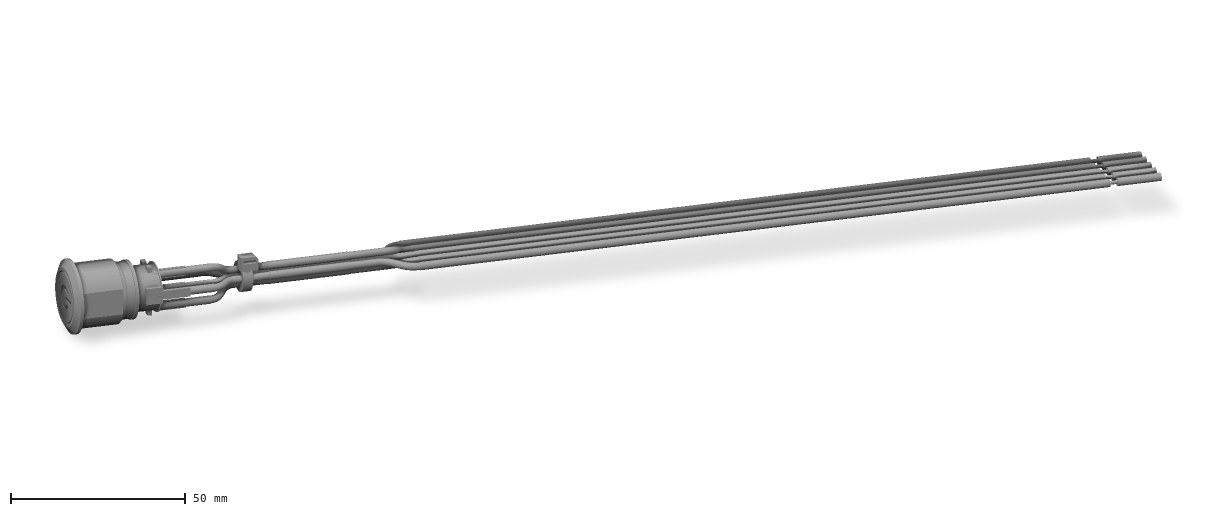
import cadquery as cq


flange_diameter = 22.0
flange_thickness = 2.3
flange_slope_depth = 1.3
bezel_diameter = 17.5
groove_diameter = 15.5
button_diameter = 14.7
groove_depth = 0.5

symbol_diameter = 7.2
symbol_line_width = 1.1
symbol_depth = 0.3
symbol_gap = 3.3
symbol_bar_start = 0.3
symbol_bar_end = 6.0

neck_diameter = 18.5
neck_rear = 3.3
body_diameter = 19.0
body_flat_width = 17.5
body_rear = 14.7
collar_diameter = 16.7
collar_rear = 19.5
collar_rim_diameter = 17.5
collar_rim_width = 1.0
base_diameter = 13.5
base_rear = 27.2
base_rim_diameter = 14.7
base_rim_width = 0.3

pad_span = 15.0
pad_height = 5.0
pad_front = 22.3
catch_spacing = 5.0
catch_width = 2.0
catch_length = 1.3
catch_front = 24.0
catch_span = 14.7

blade_thickness = 1.1
blade_height = 2.5
blade_front = 26.2
blade_rear = 35.5
blade_offset = 0.5

overall_length = 327.5
wire_diameter = 2.2
sleeve_diameter = 2.4
conductor_diameter = 1.1
bundle_pitch = 2.23
tail_pitch = 4.42
terminal_x = 6.4
inner_terminal_x = 3.0
inner_terminal_z = 5.0
wire_embed = 1.5
terminal_fan_front = 43.0
terminal_fan_rear = 50.8
bundle_sleeve_front = 61.0
bundle_sleeve_rear = 85.5
inner_fan_front = 96.5
inner_fan_rear = 105.5
outer_fan_front = 93.5
outer_fan_rear = 104.0
tail_break_front = 312.0
tail_break_rear = 314.5

tie_front = 52.5
tie_width = 3.0
tie_diameter = 9.2
tie_head_length = 5.2
tie_head_width = 3.5
tie_head_left = 1.0
tie_head_front = 51.7
tie_head_bottom = 3.0
tie_head_top = 7.2
tie_head_chamfer = 1.0
tie_slot_length = 4.0
tie_slot_height = 1.0
tie_slot_z = 5.2


def cylinder(diameter, front, rear, x=0, z=0):
    """Round bar parallel to Y between two Y positions."""
    plane = cq.Plane(origin=(x, front, z), xDir=(1, 0, 0), normal=(0, 1, 0))
    return cq.Workplane(plane).circle(diameter / 2).extrude(rear - front)


def block(x_range, y_range, z_range):
    """Box given by its limits along each axis."""
    low, high = zip(x_range, y_range, z_range)
    size = [b - a for a, b in zip(low, high)]
    return cq.Workplane("XY").box(*size, centered=False).translate(low)


def make_symbol():
    """Open ring and bar of the power symbol, with the opening towards +X."""
    half_line = symbol_line_width / 2
    ring = cylinder(symbol_diameter, 0, symbol_depth).cut(
        cylinder(symbol_diameter - 2 * symbol_line_width, 0, symbol_depth)
    )
    depth = (0, symbol_depth)
    opening = block((0, symbol_diameter), depth, (-symbol_gap / 2, symbol_gap / 2))
    bar = block((symbol_bar_start, symbol_bar_end), depth, (-half_line, half_line))
    return ring.cut(opening).union(bar)


def make_flange():
    profile = [
        (0, 0),
        (bezel_diameter / 2, 0),
        (flange_diameter / 2, flange_slope_depth),
        (flange_diameter / 2, flange_thickness),
        (0, flange_thickness),
    ]
    flange = cq.Workplane("XY").polyline(profile).close().revolve(360, (0, 0, 0), (0, 1, 0))
    groove = cylinder(groove_diameter, 0, groove_depth).cut(cylinder(button_diameter, 0, groove_depth))
    return flange.cut(groove).cut(make_symbol())


def make_body():
    flats = cq.Workplane("XY").box(body_flat_width, 2 * body_rear, body_diameter)
    body = cylinder(body_diameter, flange_thickness, body_rear).intersect(flats)
    body = body.union(cylinder(neck_diameter, flange_thickness, neck_rear))
    body = body.union(cylinder(collar_diameter, body_rear, collar_rear))
    for rim_front in (body_rear, collar_rear - collar_rim_width):
        body = body.union(cylinder(collar_rim_diameter, rim_front, rim_front + collar_rim_width))
    body = body.union(cylinder(base_diameter, collar_rear, base_rear))
    return body.union(cylinder(base_rim_diameter, base_rear - base_rim_width, base_rear))


def make_base_details():
    pads = cq.Workplane("XY").box(pad_span, base_rear - pad_front, pad_height)
    details = pads.translate((0, (base_rear + pad_front) / 2, 0))
    catch = cq.Workplane("XY").box(catch_width, catch_length, catch_span)
    for x in (-catch_spacing / 2, catch_spacing / 2):
        details = details.union(catch.translate((x, catch_front + catch_length / 2, 0)))
    return details


def make_blade(x, z):
    """Flat terminal blade centred on (x, z), standing upright."""
    blade = cq.Workplane("XY").box(blade_thickness, blade_rear - blade_front, blade_height)
    return blade.translate((x, (blade_rear + blade_front) / 2, z))


def make_wire(terminal, bundle, tail, tail_fan):
    """One wire through its (x, z) places at the switch, in the bundle and at the loose end."""
    fan_front, fan_rear = tail_fan
    stations = [
        (terminal, base_rear - wire_embed),
        (terminal, terminal_fan_front),
        (bundle, terminal_fan_rear),
        (bundle, fan_front),
        (tail, fan_rear),
        (tail, tail_break_front),
    ]
    points = [cq.Vector(x, y, z) for (x, z), y in stations]
    along = cq.Vector(0, 1, 0)
    edges = []
    for start, end in zip(points, points[1:]):
        if start.x == end.x and start.z == end.z:
            edges.append(cq.Edge.makeLine(start, end))
        else:
            edges.append(cq.Edge.makeSpline([start, end], tangents=[along, along]))
    plane = cq.Plane(origin=points[0].toTuple(), xDir=(1, 0, 0), normal=(0, 1, 0))
    wire = cq.Workplane(plane).circle(wire_diameter / 2).sweep(cq.Wire.assembleEdges(edges))

    sleeves = [
        (terminal, base_rear - wire_embed, terminal_fan_front),
        (bundle, bundle_sleeve_front, bundle_sleeve_rear),
        (tail, fan_rear, tail_break_front),
        (tail, tail_break_rear, overall_length),
    ]
    tail_x, tail_z = tail
    wire = wire.union(cylinder(conductor_diameter, tail_break_front, tail_break_rear, tail_x, tail_z))
    for (x, z), front, rear in sleeves:
        wire = wire.union(cylinder(sleeve_diameter, front, rear, x, z))
    return wire


def make_tie():
    band = cylinder(tie_diameter, tie_front, tie_front + tie_width)
    head_x = (tie_head_left, tie_head_left + tie_head_width)
    head = block(head_x, (tie_head_front, tie_head_front + tie_head_length), (tie_head_bottom, tie_head_top))
    head = head.faces(">Z").edges(">Y").chamfer(tie_head_chamfer)
    slot_front = tie_head_front + (tie_head_length - tie_slot_length) / 2
    slot = block(head_x, (slot_front, slot_front + tie_slot_length), (tie_slot_z, tie_slot_z + tie_slot_height))
    return band.union(head.cut(slot))


inner_fan = (inner_fan_front, inner_fan_rear)
outer_fan = (outer_fan_front, outer_fan_rear)
wire_routes = [
    ((-terminal_x, 0), (-bundle_pitch, 0), (-2 * tail_pitch, 0), outer_fan),
    ((inner_terminal_x, inner_terminal_z), (0, bundle_pitch), (-tail_pitch, 0), inner_fan),
    ((inner_terminal_x, 0), (0, 0), (0, 0), inner_fan),
    ((inner_terminal_x, -inner_terminal_z), (0, -bundle_pitch), (tail_pitch, 0), inner_fan),
    ((terminal_x, 0), (bundle_pitch, 0), (2 * tail_pitch, 0), outer_fan),
]

blade_places = [
    (-terminal_x - blade_offset, 0),
    (terminal_x + blade_offset, 0),
    (inner_terminal_x, -inner_terminal_z),
    (inner_terminal_x, 0),
    (inner_terminal_x, inner_terminal_z),
]

result = make_flange().union(make_body()).union(make_base_details()).union(make_tie())
for x, z in blade_places:
    result = result.union(make_blade(x, z))
for route in wire_routes:
    result = result.union(make_wire(*route))